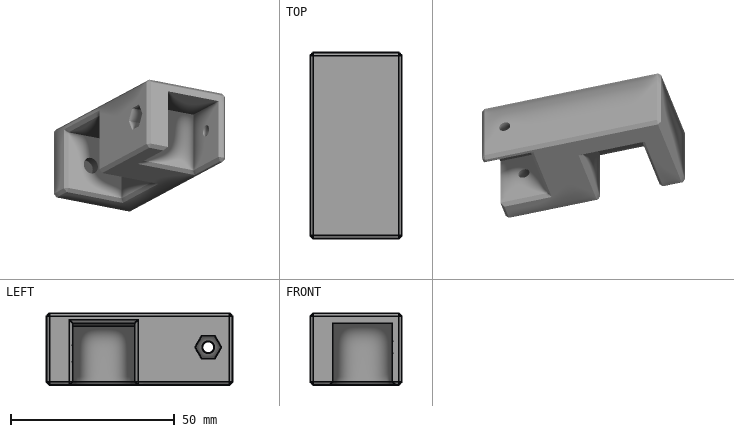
import cadquery as cq

WIDTH = 28.1
LENGTH = 57.0
HEIGHT = 22.0
CHAMFER = 1.0

LEFT_WALL = 7.0
RIGHT_WALL = 2.95
ROOF = 3.0
SLOT_DEPTH = 15.0
CEILING = HEIGHT - ROOF
SLOT_WIDTH = WIDTH - LEFT_WALL - RIGHT_WALL

POCKET_START = 30.0
POCKET_LENGTH = 19.0
POCKET_DEPTH = 20.0
POCKET_END = POCKET_START + POCKET_LENGTH

BOLT_Y = SLOT_DEPTH / 2
BOLT_Z = 11.55
BOLT_DIAMETER = 3.55
NUT_ACROSS_CORNERS = 8.05
NUT_DEPTH = 4.0

REAR_HOLE_DIAMETER = 5.0
REAR_HOLE_DEPTH = 3.0
REAR_HOLE_X = 9.0
REAR_HOLE_Z = 9.65


def block(x, y, z, width, length, height):
    """Box with its lowest corner at (x, y, z)."""
    return cq.Workplane("XY").box(width, length, height, centered=False).translate((x, y, z))


def bottom_flare(x, y, width, length):
    """45 degree widening of a rectangular opening at the underside."""
    return (
        cq.Workplane("XY")
        .center(x + width / 2, y + length / 2)
        .rect(width + 2 * CHAMFER, length + 2 * CHAMFER)
        .workplane(offset=CHAMFER)
        .rect(width, length)
        .loft(ruled=True)
    )


def front_slot():
    start = -2 * CHAMFER
    length = SLOT_DEPTH - start
    slot = block(LEFT_WALL, start, 0, SLOT_WIDTH, length, CEILING)
    return slot.union(bottom_flare(LEFT_WALL, start, SLOT_WIDTH, length))


def rear_pocket():
    return (
        block(0, POCKET_START, 0, POCKET_DEPTH, POCKET_LENGTH, CEILING)
        .edges(">X and >Z")
        .chamfer(CHAMFER)
    )


def cross_bolt():
    left_face = cq.Workplane("YZ").center(BOLT_Y, BOLT_Z)
    hole = left_face.circle(BOLT_DIAMETER / 2).extrude(WIDTH)
    nut = left_face.polygon(6, NUT_ACROSS_CORNERS).extrude(NUT_DEPTH)
    return hole.union(nut)


def rear_hole():
    return (
        cq.Workplane("XZ", origin=(REAR_HOLE_X, POCKET_END + REAR_HOLE_DEPTH, REAR_HOLE_Z))
        .circle(REAR_HOLE_DIAMETER / 2)
        .extrude(REAR_HOLE_DEPTH)
    )


body = block(0, 0, 0, WIDTH, LENGTH, HEIGHT).cut(rear_pocket())
body = body.faces("<X or >X or <Y or >Y or <Z or >Z").edges().chamfer(CHAMFER)
result = body.cut(front_slot()).cut(cross_bolt()).cut(rear_hole())